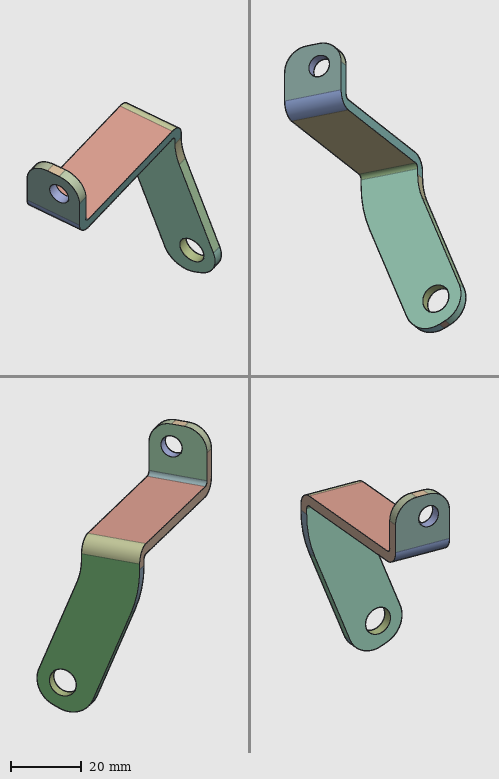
import cadquery as cq
import math


STRIP_WIDTH = 18.0
THICKNESS = 3.2
INNER_BEND_RADIUS = 1.3
OUTER_BEND_RADIUS = INNER_BEND_RADIUS + THICKNESS
DEPTH = 51.41
FLANGE_TOP = 17.0
ARM_FRONT_Y = DEPTH - THICKNESS

FLANGE_CORNER_RADIUS = 7.0
FLANGE_HOLE_DIAMETER = 6.5
FLANGE_HOLE_EDGE_DISTANCE = 7.0

CURVE_START_Z = -6.26
ARM_ANGLE = 22.0
RIGHT_CURVE_RADIUS = 20.0
LEFT_CURVE_RADIUS = RIGHT_CURVE_RADIUS + STRIP_WIDTH
ARM_END_RADIUS = 8.0
ARM_HOLE_DIAMETER = 8.25
ARM_HOLE_DISTANCE = 31.27
QUARTER_ARC_MIDDLE = 45.0

CURVE_CENTER_X = LEFT_CURVE_RADIUS


def arm_point(radius, distance=0.0, angle=ARM_ANGLE):
    """XZ point at a radius from the curve center, moved a distance along the arm."""
    turn = math.radians(angle)
    x = CURVE_CENTER_X - radius * math.cos(turn) + distance * math.sin(turn)
    z = CURVE_START_Z - radius * math.sin(turn) - distance * math.cos(turn)
    return x, z


def end_rounding_mid_point(center_radius, swing):
    """XZ middle of an end rounding, a swing in degrees away from the arm direction.

    The rounding's center is as far along the arm as the hole, at center_radius from the curve center.
    """
    center_x, center_z = arm_point(center_radius, ARM_HOLE_DISTANCE)
    turn = math.radians(ARM_ANGLE + swing)
    return center_x + ARM_END_RADIUS * math.sin(turn), center_z - ARM_END_RADIUS * math.cos(turn)


def make_folded_strip():
    """Z-shaped strip: start of the arm, shelf and upper flange."""
    outline = [
        (DEPTH, CURVE_START_Z),
        (DEPTH, 0),
        (THICKNESS, 0),
        (THICKNESS, FLANGE_TOP),
        (0, FLANGE_TOP),
        (0, -THICKNESS),
        (ARM_FRONT_Y, -THICKNESS),
        (ARM_FRONT_Y, CURVE_START_Z),
    ]
    strip = cq.Workplane("YZ").polyline(outline).close().extrude(STRIP_WIDTH)
    bend_edges = [
        ((DEPTH, 0), OUTER_BEND_RADIUS),
        ((ARM_FRONT_Y, -THICKNESS), INNER_BEND_RADIUS),
        ((THICKNESS, 0), INNER_BEND_RADIUS),
        ((0, -THICKNESS), OUTER_BEND_RADIUS),
    ]
    for (y, z), radius in bend_edges:
        edge = cq.selectors.NearestToPointSelector((STRIP_WIDTH / 2, y, z))
        strip = strip.edges("|X").edges(edge).fillet(radius)
    return strip.faces(">Z").edges("|Y").fillet(FLANGE_CORNER_RADIUS)


def make_arm():
    """Flat arm below the rear bend: sideways curve, straight length and rounded end."""
    half_angle = ARM_ANGLE / 2
    right_rounding = RIGHT_CURVE_RADIUS + ARM_END_RADIUS
    left_rounding = LEFT_CURVE_RADIUS - ARM_END_RADIUS
    end_distance = ARM_HOLE_DISTANCE + ARM_END_RADIUS
    return (
        cq.Workplane("XZ", origin=(0, ARM_FRONT_Y, 0))
        .moveTo(0, CURVE_START_Z)
        .threePointArc(
            arm_point(LEFT_CURVE_RADIUS, angle=half_angle),
            arm_point(LEFT_CURVE_RADIUS),
        )
        .lineTo(*arm_point(LEFT_CURVE_RADIUS, ARM_HOLE_DISTANCE))
        .threePointArc(
            end_rounding_mid_point(left_rounding, -QUARTER_ARC_MIDDLE),
            arm_point(left_rounding, end_distance),
        )
        .lineTo(*arm_point(right_rounding, end_distance))
        .threePointArc(
            end_rounding_mid_point(right_rounding, QUARTER_ARC_MIDDLE),
            arm_point(RIGHT_CURVE_RADIUS, ARM_HOLE_DISTANCE),
        )
        .lineTo(*arm_point(RIGHT_CURVE_RADIUS))
        .threePointArc(
            arm_point(RIGHT_CURVE_RADIUS, angle=half_angle),
            (STRIP_WIDTH, CURVE_START_Z),
        )
        .close()
        .extrude(-THICKNESS)
    )


def make_hole(center, diameter):
    """Cylinder along Y through the whole depth of the part."""
    return cq.Workplane("XZ").center(*center).circle(diameter / 2).extrude(-DEPTH)


flange_hole_center = (
    STRIP_WIDTH - FLANGE_HOLE_EDGE_DISTANCE,
    FLANGE_TOP - FLANGE_HOLE_EDGE_DISTANCE,
)
arm_hole_center = arm_point(RIGHT_CURVE_RADIUS + ARM_END_RADIUS, ARM_HOLE_DISTANCE)

result = (
    make_folded_strip()
    .union(make_arm())
    .cut(make_hole(flange_hole_center, FLANGE_HOLE_DIAMETER))
    .cut(make_hole(arm_hole_center, ARM_HOLE_DIAMETER))
)